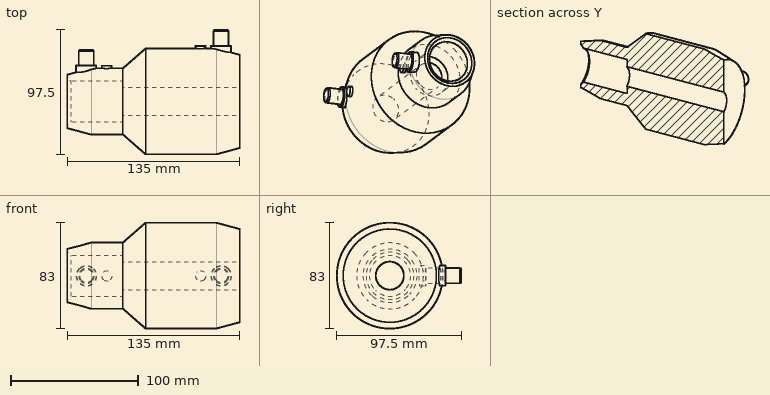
import cadquery as cq

total_length = 135.0
small_radius = 26.0
large_radius = 41.5
end_taper_length = 18.6
end_taper_drop = 5.0
neck_end_x = 43.6
shoulder_end_x = 61.3

bore_radius = 10.9
socket_radius = 16.0
socket_depth = neck_end_x
mouth_radius = 18.6
mouth_chamfer_depth = 2.6

terminal_inset = 14.8
terminal_radius = 6.0
terminal_rise = 14.5
terminal_tip_inset = 0.8
terminal_tip_length = 1.2
collar_radius = 8.0
collar_rise = 2.2
collar_edge_chamfer = 0.4
indicator_spacing = 16.0
indicator_radius = 4.0
indicator_rise = 2.0
root_depth = 8.0


def turned(profile_points):
    """Revolve a closed (x, radius) outline about the X axis."""
    outline = cq.Workplane("XY").polyline(profile_points).close()
    return outline.revolve(360, (0, 0, 0), (1, 0, 0))


def make_body():
    return turned([
        (0, 0),
        (0, small_radius - end_taper_drop),
        (end_taper_length, small_radius),
        (neck_end_x, small_radius),
        (shoulder_end_x, large_radius),
        (total_length - end_taper_length, large_radius),
        (total_length, large_radius - end_taper_drop),
        (total_length, 0),
    ])


def make_opening():
    return turned([
        (0, 0),
        (0, mouth_radius),
        (mouth_chamfer_depth, socket_radius),
        (socket_depth, socket_radius),
        (socket_depth, bore_radius),
        (total_length, bore_radius),
        (total_length, 0),
    ])


def upright_cylinder(x, base_y, top_y, radius):
    """Cylinder along +Y between two heights above the main axis."""
    base = cq.Workplane("XZ", origin=(x, base_y, 0))
    return base.circle(radius).extrude(base_y - top_y)


def make_terminal(x, surface_radius):
    root_y = surface_radius - root_depth
    collar = upright_cylinder(x, root_y, surface_radius + collar_rise, collar_radius)
    collar = collar.faces(">Y").chamfer(collar_edge_chamfer)
    pin = upright_cylinder(x, root_y, surface_radius + terminal_rise, terminal_radius)
    pin = pin.faces(">Y").chamfer(terminal_tip_length, terminal_tip_inset)
    return collar.union(pin)


def make_indicator(x, surface_radius):
    root_y = surface_radius - root_depth
    return upright_cylinder(x, root_y, surface_radius + indicator_rise, indicator_radius)


fitting_sites = [
    (terminal_inset, small_radius, 1),
    (total_length - terminal_inset, large_radius, -1),
]

body = make_body()
for terminal_x, surface_radius, inward in fitting_sites:
    body = body.union(make_terminal(terminal_x, surface_radius))
    body = body.union(make_indicator(terminal_x + inward * indicator_spacing, surface_radius))

result = body.cut(make_opening())